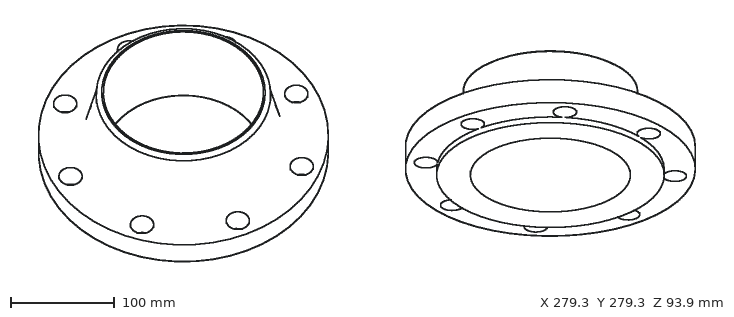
import cadquery as cq

FLANGE_DIAMETER = 279.3
FLANGE_THICKNESS = 24.9

FACE_DIAMETER = 219.3
FACE_HEIGHT = 6.1

TOTAL_HEIGHT = 93.9
HUB_BASE_DIAMETER = 192.0
NECK_DIAMETER = 168.2
NECK_LENGTH = 10.3
BEVEL_HEIGHT = 3.4
LAND_WIDTH = 1.7
HUB_FILLET = 2.5
BORE_DIAMETER = 154.2

BOLT_COUNT = 8
BOLT_CIRCLE_DIAMETER = 241.3
BOLT_HOLE_DIAMETER = 22.3

flange_top = FACE_HEIGHT + FLANGE_THICKNESS
taper_top = TOTAL_HEIGHT - NECK_LENGTH
bevel_bottom = TOTAL_HEIGHT - BEVEL_HEIGHT


def revolved_body():
    """Raised face, plate, hub and neck, bored through along Z."""
    bore_radius = BORE_DIAMETER / 2
    face_radius = FACE_DIAMETER / 2
    flange_radius = FLANGE_DIAMETER / 2
    neck_radius = NECK_DIAMETER / 2
    profile = [
        (bore_radius, 0),
        (face_radius, 0),
        (face_radius, FACE_HEIGHT),
        (flange_radius, FACE_HEIGHT),
        (flange_radius, flange_top),
        (HUB_BASE_DIAMETER / 2, flange_top),
        (neck_radius, taper_top),
        (neck_radius, bevel_bottom),
        (bore_radius + LAND_WIDTH, TOTAL_HEIGHT),
        (bore_radius, TOTAL_HEIGHT),
    ]
    return cq.Workplane("XZ").polyline(profile).close().revolve(360, (0, 0, 0), (0, 1, 0))


def fillet_hub_root(body):
    """Round the inside corner where the hub meets the plate."""
    margin = 0.3
    reach = HUB_BASE_DIAMETER / 2 + margin
    root_zone = cq.selectors.BoxSelector(
        (-reach, -reach, flange_top - margin),
        (reach, reach, flange_top + margin),
        boundingbox=True,
    )
    return body.edges(root_zone).fillet(HUB_FILLET)


def bolt_holes():
    """Through holes evenly spaced on the bolt circle; they just nick the raised face."""
    return (
        cq.Workplane("XY")
        .polarArray(BOLT_CIRCLE_DIAMETER / 2, 0, 360, BOLT_COUNT)
        .circle(BOLT_HOLE_DIAMETER / 2)
        .extrude(flange_top)
    )


result = fillet_hub_root(revolved_body()).cut(bolt_holes())